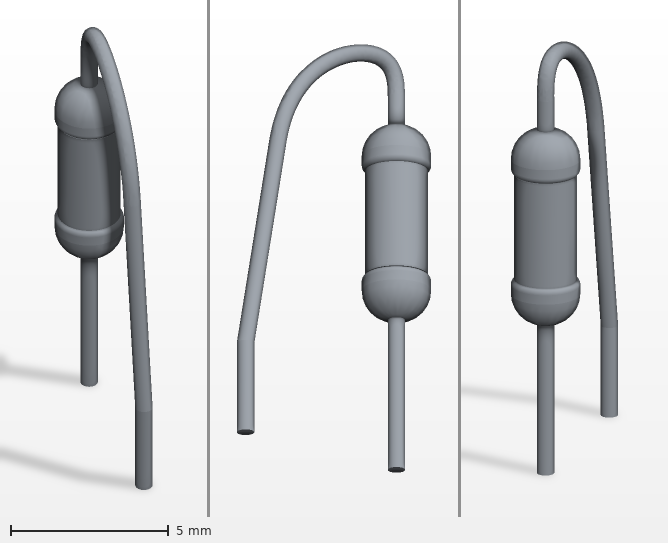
import cadquery as cq
import math


core_diameter = 2.0
cap_diameter = 2.2
cap_length = 1.5
body_length = 6.5
body_bottom = 5.0
dome_radius = 1.0
rim_radius = 0.19
body_top = body_bottom + body_length
core_length = body_length - 2 * cap_length

wire_diameter = 0.55
wire_radius = wire_diameter / 2
wire_pitch = 6.0
riser_top = 12.5
bend_end_x = 4.72
bend_end_z = 10.0
leg_top = 3.0

riser_handle = 1.6
crest_pull_x = 0.7
crest_pull_z = 14.1
bend_end_handle = 3.7

slant_run = wire_pitch - bend_end_x
slant_drop = bend_end_z - leg_top
slant_length = math.hypot(slant_run, slant_drop)
slant_x = slant_run / slant_length
slant_z = -slant_drop / slant_length
trim_allowance = wire_diameter


def rod(x, bottom, top):
    """Vertical wire stretch at the given x."""
    return cq.Workplane("XY", origin=(x, 0, bottom)).circle(wire_radius).extrude(top - bottom)


def slant_point(distance):
    """Point (x, z) on the slanted line, measured down from the end of the bend."""
    return (bend_end_x + distance * slant_x, bend_end_z + distance * slant_z)


def horizontal_slab(bottom, top):
    """Block wide enough to hold the whole wire between two heights."""
    width = 4 * wire_pitch
    return cq.Workplane("XY", origin=(0, 0, bottom)).rect(width, width).extrude(top - bottom)


def make_bend():
    """Curved stretch over the crest, cut level where the slanted stretch begins."""
    path = (
        cq.Workplane("XZ")
        .moveTo(0, riser_top)
        .bezier([
            (0, riser_top),
            (0, riser_top + riser_handle),
            (crest_pull_x, crest_pull_z),
            slant_point(-bend_end_handle),
            slant_point(0),
        ])
        .lineTo(*slant_point(trim_allowance))
    )
    tube = cq.Workplane("XY", origin=(0, 0, riser_top)).circle(wire_radius).sweep(path)
    return tube.intersect(horizontal_slab(bend_end_z, crest_pull_z + wire_diameter))


def make_slant():
    """Straight slanted stretch, cut level at both ends."""
    start_x, start_z = slant_point(-trim_allowance)
    plane = cq.Plane(origin=(start_x, 0, start_z), xDir=(0, 1, 0), normal=(slant_x, 0, slant_z))
    tube = cq.Workplane(plane).circle(wire_radius).extrude(slant_length + 2 * trim_allowance)
    return tube.intersect(horizontal_slab(leg_top, bend_end_z))


def make_wire():
    """One wire through the body, over the bend and down to the second leg."""
    stem = rod(0, 0, riser_top)
    leg = rod(wire_pitch, 0, leg_top)
    return stem.union(make_bend()).union(make_slant()).union(leg)


def make_core():
    """Ceramic cylinder between the caps, bored for the wire."""
    return (
        cq.Workplane("XY", origin=(0, 0, body_bottom + cap_length))
        .circle(core_diameter / 2)
        .circle(wire_radius)
        .extrude(core_length)
    )


def make_cap(outer_end_z, direction):
    """Domed end cap reaching from its outer end towards the core (direction +1 is up)."""
    cap = (
        cq.Workplane("XY", origin=(0, 0, outer_end_z))
        .circle(cap_diameter / 2)
        .extrude(direction * cap_length)
    )
    dome_side, rim_side = ("<Z", ">Z") if direction > 0 else (">Z", "<Z")
    cap = cap.faces(dome_side).edges().fillet(dome_radius)
    cap = cap.faces(rim_side).edges().fillet(rim_radius)
    return cap.cut(rod(0, body_bottom, body_top))


core = make_core()
caps = [
    make_cap(outer_end_z, direction)
    for outer_end_z, direction in ((body_bottom, 1), (body_top, -1))
]
wire = make_wire()

bodies = [core, *caps, wire]
result = cq.Compound.makeCompound([body.solids().val() for body in bodies])